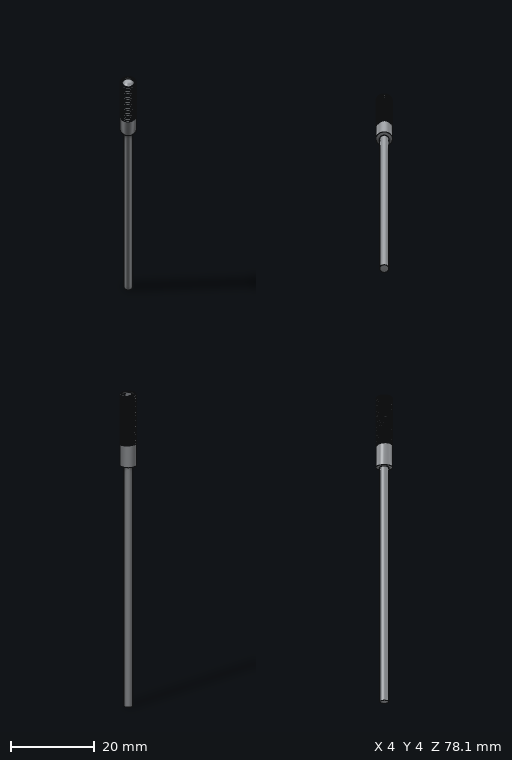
import cadquery as cq

total_length = 78.1
rod_length = 60.1
rod_diameter = 2.2
head_diameter = 4.0

thread_pitch = 0.7
thread_length = 12.6
thread_depth = 0.28
thread_start_angle = -120
groove_mouth_width = 0.5
groove_root_width = 0.18
groove_overcut = 0.05

top_chamfer = 0.3
rim_inner_radius = 1.5

head_radius = head_diameter / 2
dome_radius = head_radius
head_length = total_length - rod_length
trim_length = 2 * thread_pitch


def cylinder(radius, height, base_height):
    """Upright cylinder on the part's axis."""
    return cq.Workplane("XY").workplane(offset=base_height).circle(radius).extrude(height)


def make_thread_groove():
    """Helical V groove with a narrow flat root, running past the top end."""
    root_radius = head_radius - thread_depth
    helix = cq.Wire.makeHelix(thread_pitch, thread_length + thread_pitch, root_radius)

    flank_slope = (groove_mouth_width - groove_root_width) / 2 / thread_depth
    outer_half_width = groove_mouth_width / 2 + flank_slope * groove_overcut
    outer_radius = head_radius + groove_overcut
    root_half_width = groove_root_width / 2
    profile = (
        cq.Workplane("XZ")
        .moveTo(root_radius, -root_half_width)
        .lineTo(outer_radius, -outer_half_width)
        .lineTo(outer_radius, outer_half_width)
        .lineTo(root_radius, root_half_width)
        .close()
    )
    groove = profile.sweep(cq.Workplane(obj=helix), isFrenet=True)
    groove = groove.rotate((0, 0, 0), (0, 0, 1), thread_start_angle)
    return groove.translate((0, 0, total_length - thread_length))


def make_head():
    """Threaded head, trimmed to length with a chamfered top edge."""
    stock = cylinder(head_radius, head_length + trim_length, rod_length)
    threaded = stock.cut(make_thread_groove())
    envelope = cylinder(head_radius + groove_overcut, head_length, rod_length)
    envelope = envelope.faces(">Z").chamfer(top_chamfer + groove_overcut)
    return threaded.intersect(envelope)


def make_dome_relief():
    """Material removed inside the rim to leave a dome whose crown is level with the top end."""
    dome_centre = total_length - dome_radius
    recess = cylinder(rim_inner_radius, dome_radius, dome_centre)
    dome = cq.Workplane("XY").sphere(dome_radius).translate((0, 0, dome_centre))
    return recess.cut(dome)


rod = cylinder(rod_diameter / 2, rod_length, 0)
head = make_head().cut(make_dome_relief())
result = rod.union(head).solids()